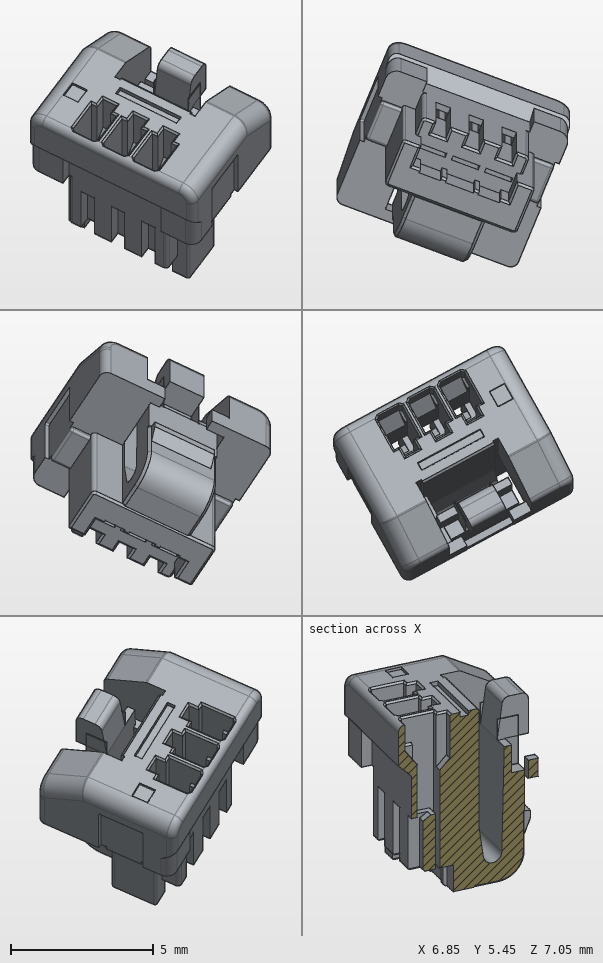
import cadquery as cq
import math

HEAD_WIDTH = 6.85
HEAD_DEPTH = 5.45
TOP_Z = 7.05
HEAD_BOTTOM_Z = 3.85
SIDE_ROUND = 0.61
FACE_ROUND = 0.3
SLOPE_START_Y = 3.76
SLOPE_ANGLE = 30.0
CREASE_ROUND = 0.1

UNDERCUT_Z = 5.435
UNDERCUT_DEPTH = 0.515
SHOULDER_FACE_Y = 0.105

PLUG_WIDTH = 4.98
PLUG_FRONT_Y = 1.21
PLUG_BACK_Y = 3.02
PLUG_FRONT_ROUND = 0.09
PLUG_BACK_ROUND = 0.155
TONGUE_WIDTH = 4.05
TONGUE_BACK_Y = 1.45
TONGUE_BOTTOM_Z = 1.05
TONGUE_ROUND = 0.15
BOTTOM_CHAMFER = 0.085

RECESS_FRONT_Y = 1.24
RECESS_BACK_Y = 2.995
RECESS_TOP_Z = 6.04
RECESS_DEPTH = 0.155
RECESS_ROUND = 0.06
TAB_FRONT_Y = 1.325
TAB_BACK_Y = 2.84
TAB_BOTTOM_Z = 3.64
TAB_ROUND = 0.1

CAVITY_PITCH = 1.25
CAVITY_CENTRES = [-CAVITY_PITCH, 0.0, CAVITY_PITCH]
CAVITY_WIDTH = 1.01
CAVITY_FRONT_Y = 0.74
CAVITY_BACK_Y = 1.61
CAVITY_SHELF_Z = 3.24
MOUTH_FRONT_Y = 0.27
THROAT_WIDTH = 0.82
MOUTH_CORNER_CHAMFER = 0.1
FLARE_HEIGHT = 0.07
RAMP_TOP_Z = 5.99
RAMP_ANGLE = 54.0
KEY_WIDTH = 0.55
KEY_BACK_Y = 2.0
KEY_FLOOR_Z = 4.935
RIM_CHAMFER = 0.07
CONTACT_SLOT_BACK_Y = 0.96
CONTACT_SLOT_RAMP_Y = 1.26
CONTACT_SLOT_RAMP_Z = 3.05
RELIEF_WIDTH = 3.625
RELIEF_GROOVE_DEPTH = 0.14
RELIEF_GROOVE_EDGES = [(-1.515, -0.71), (-0.53, 0.53), (0.71, 1.515)]

LONG_POCKET = (0.0, 2.565, 2.51, 0.3, 0.175)
SQUARE_POCKET = (-2.49, 1.705, 0.6, 0.62, 0.1)

OPENING_WIDTH = 3.3
OPENING_FRONT_Y = PLUG_BACK_Y - 0.01
LIP_FRONT_Y = 5.05
LIP_GAP = 1.89
LIP_TOP_Z = 4.58
RAIL_TOP_Z = 4.37

LATCH_LEFT_X = -1.44
LATCH_RIGHT_X = 1.305
LATCH_BACK_Y = 4.92
LATCH_BEND_RADIUS = 1.01
LATCH_CHAMFER = 0.105
LATCH_CHAMFER_TOP_Z = 2.59
LATCH_STEP_Z = 4.23
WINDOW_ROUND = 0.35
WINDOW_CENTRE_Y = 3.665
WINDOW_CENTRE_Z = 1.185
ROOT_BACK_Y = 3.15
ROOT_BEND_Z = 2.33
ROOT_CHAMFER = 0.085
BAR_FRONT_Y = 4.11
BAR_BACK_Y = 4.405
BAR_TOP_Z = 5.32
CATCH_WIDTH = 2.4
CATCH_TIP_Y = 5.17
CATCH_TIP_TOP_Z = 2.545
CATCH_TIP_BOTTOM_Z = 2.25
CATCH_FOOT_Z = 1.66

BUTTON_WIDTH = 1.375
BUTTON_BACK_Y = 5.33
BUTTON_TOP_Z = 6.96
BUTTON_FRONT_TOP_Y = 4.335
BUTTON_ROUND = 0.28
CHEEK_THICKNESS = 0.035
CHEEK_TOP_Z = 6.15

CUT_MARGIN = 0.35


def box(x0, x1, y0, y1, z0, z1):
    return cq.Workplane("XY").box(x1 - x0, y1 - y0, z1 - z0, centered=False).translate((x0, y0, z0))


def centred_box(width, y0, y1, z0, z1):
    return box(-width / 2, width / 2, y0, y1, z0, z1)


def side_profile(points, x0, x1):
    """Extrude a closed (y, z) outline from x0 to x1."""
    return cq.Workplane("YZ").polyline(points).close().extrude(x1 - x0).translate((x0, 0, 0))


def make_head():
    """Block with a sloped rear top; the long sides, then the front and rear faces, are rounded."""
    slope_end_z = TOP_Z - (HEAD_DEPTH - SLOPE_START_Y) * math.tan(math.radians(SLOPE_ANGLE))
    half = HEAD_WIDTH / 2
    head = side_profile(
        [
            (0, HEAD_BOTTOM_Z),
            (0, TOP_Z),
            (SLOPE_START_Y, TOP_Z),
            (HEAD_DEPTH, slope_end_z),
            (HEAD_DEPTH, HEAD_BOTTOM_Z),
        ],
        -half,
        half,
    )
    for side in ("<X", ">X"):
        head = head.faces(side).edges("not(|Z)").edges("not <Z").fillet(SIDE_ROUND)
    for end in ("<Y", ">Y"):
        head = head.faces(end).edges("not <Z").fillet(FACE_ROUND)
    crease = cq.selectors.NearestToPointSelector((0, SLOPE_START_Y, TOP_Z))
    return head.edges(crease).fillet(CREASE_ROUND)


def make_front_undercut():
    """Space under the front of the head, with a 45 degree roof."""
    below = HEAD_BOTTOM_Z - CUT_MARGIN
    half = HEAD_WIDTH / 2 + CUT_MARGIN
    outline = [
        (-CUT_MARGIN, below),
        (-CUT_MARGIN, UNDERCUT_Z + CUT_MARGIN),
        (UNDERCUT_DEPTH, UNDERCUT_Z - UNDERCUT_DEPTH),
        (UNDERCUT_DEPTH, below),
    ]
    return side_profile(outline, -half, half)


def make_shoulders():
    """Corner blocks that fill the undercut at both ends of the front."""
    corner_round = UNDERCUT_DEPTH - SHOULDER_FACE_Y
    back = UNDERCUT_DEPTH + corner_round
    blocks = centred_box(HEAD_WIDTH, SHOULDER_FACE_Y, back, HEAD_BOTTOM_Z, UNDERCUT_Z)
    blocks = blocks.edges("|Z and <Y").fillet(corner_round)
    gap = centred_box(TONGUE_WIDTH, 0, back, HEAD_BOTTOM_Z, UNDERCUT_Z)
    return blocks.cut(gap).intersect(make_front_undercut())


def make_plug():
    """Rear body and front tongue, joined below the head."""
    body = centred_box(PLUG_WIDTH, PLUG_FRONT_Y, PLUG_BACK_Y, 0, HEAD_BOTTOM_Z)
    body = body.edges("|Z and <Y").fillet(PLUG_FRONT_ROUND)
    body = body.edges("|Z and >Y").fillet(PLUG_BACK_ROUND)
    body = body.cut(make_front_relief())
    body = body.faces("<Z").edges().chamfer(BOTTOM_CHAMFER)
    body = body.cut(make_relief_grooves())

    tongue = centred_box(
        TONGUE_WIDTH, UNDERCUT_DEPTH, TONGUE_BACK_Y, TONGUE_BOTTOM_Z, HEAD_BOTTOM_Z
    )
    tongue = tongue.edges("|Z and <Y").fillet(TONGUE_ROUND)
    for centre_x in CAVITY_CENTRES:
        tongue = tongue.cut(make_contact_slot().translate((centre_x, 0, 0)))
    tongue = tongue.faces("<Z").edges("not >Y").chamfer(BOTTOM_CHAMFER)
    return body.union(tongue)


def make_front_relief():
    """Open space behind and below the tongue."""
    return centred_box(RELIEF_WIDTH, PLUG_FRONT_Y - CUT_MARGIN, KEY_BACK_Y, -CUT_MARGIN, TONGUE_BOTTOM_Z)


def make_relief_grooves():
    """Grooves in the back wall of the relief, one behind each cavity."""
    back = KEY_BACK_Y + RELIEF_GROOVE_DEPTH
    grooves = cq.Workplane("XY")
    for left, right in RELIEF_GROOVE_EDGES:
        grooves = grooves.union(box(left, right, PLUG_FRONT_Y, back, -CUT_MARGIN, TONGUE_BOTTOM_Z))
    return grooves


def make_side_recess():
    """Round-cornered recess in the -X side of the head, open below."""
    outer = -HEAD_WIDTH / 2
    recess = box(
        outer - CUT_MARGIN,
        outer + RECESS_DEPTH,
        RECESS_FRONT_Y,
        RECESS_BACK_Y,
        HEAD_BOTTOM_Z - CUT_MARGIN,
        RECESS_TOP_Z,
    )
    return recess.edges("|X and >Z").fillet(RECESS_ROUND)


def make_side_tab():
    """Round-edged tab below the -X recess, flush with the recess floor."""
    tab = box(
        -HEAD_WIDTH / 2 + RECESS_DEPTH,
        -PLUG_WIDTH / 2 + 0.07,
        TAB_FRONT_Y,
        TAB_BACK_Y,
        TAB_BOTTOM_Z,
        HEAD_BOTTOM_Z + TAB_ROUND,
    )
    tab = tab.edges("|Z and <X").fillet(TAB_ROUND)
    return tab.faces("<Z").edges("not >X").fillet(TAB_ROUND)


def make_rear_opening():
    """Opening for the latch, partly closed at the rear by two lips."""
    opening = centred_box(
        OPENING_WIDTH, OPENING_FRONT_Y, HEAD_DEPTH + CUT_MARGIN, HEAD_BOTTOM_Z - 0.07, TOP_Z + CUT_MARGIN
    )
    half = OPENING_WIDTH / 2
    lips = centred_box(OPENING_WIDTH, LIP_FRONT_Y, HEAD_DEPTH, HEAD_BOTTOM_Z, LIP_TOP_Z)
    lip_gap = centred_box(LIP_GAP, LIP_FRONT_Y, HEAD_DEPTH, HEAD_BOTTOM_Z, LIP_TOP_Z)
    rail = box(LATCH_RIGHT_X, half, OPENING_FRONT_Y, LIP_FRONT_Y, HEAD_BOTTOM_Z, RAIL_TOP_Z)
    below_head = centred_box(OPENING_WIDTH, PLUG_BACK_Y, HEAD_DEPTH, 0, HEAD_BOTTOM_Z)
    return opening.cut(lips.cut(lip_gap)).cut(rail).cut(below_head)


def make_contact_slot():
    """Slot open at the tongue's front and bottom, with a ramp up to the cavity shelf."""
    return side_profile(
        [
            (UNDERCUT_DEPTH - CUT_MARGIN, -CUT_MARGIN),
            (UNDERCUT_DEPTH - CUT_MARGIN, CAVITY_SHELF_Z),
            (CONTACT_SLOT_RAMP_Y, CAVITY_SHELF_Z),
            (CONTACT_SLOT_BACK_Y, CONTACT_SLOT_RAMP_Z),
            (CONTACT_SLOT_BACK_Y, -CUT_MARGIN),
        ],
        -KEY_WIDTH / 2,
        KEY_WIDTH / 2,
    )


def make_cavity():
    """One contact cavity centred on X = 0, with its mouth, key, contact slot and rim chamfer."""
    above = TOP_Z + CUT_MARGIN
    well = centred_box(CAVITY_WIDTH, CAVITY_FRONT_Y, CAVITY_BACK_Y, CAVITY_SHELF_Z, above)
    drop = centred_box(CAVITY_WIDTH, TONGUE_BACK_Y, CAVITY_BACK_Y, -CUT_MARGIN, above)

    key_rise = KEY_BACK_Y - CAVITY_BACK_Y
    key = side_profile(
        [
            (CAVITY_BACK_Y, KEY_FLOOR_Z),
            (CAVITY_BACK_Y, above),
            (KEY_BACK_Y, above),
            (KEY_BACK_Y, KEY_FLOOR_Z + key_rise),
        ],
        -KEY_WIDTH / 2,
        KEY_WIDTH / 2,
    )

    mouth = cq.Workplane("XY").polyline(mouth_plan()).close().extrude(above).cut(make_mouth_floor())

    cavity = well.union(key).union(drop).union(mouth)
    return cavity.union(make_contact_slot()).union(make_cavity_rim())


def make_mouth_floor():
    """Solid that stays below the mouth: a steep ramp into the well, between two flared sides."""
    half = CAVITY_WIDTH / 2
    throat_half = THROAT_WIDTH / 2
    ramp_drop = (CAVITY_FRONT_Y - MOUTH_FRONT_Y) * math.tan(math.radians(RAMP_ANGLE))
    ramp = side_profile(
        [
            (MOUTH_FRONT_Y, 0),
            (MOUTH_FRONT_Y, RAMP_TOP_Z),
            (CAVITY_FRONT_Y, RAMP_TOP_Z - ramp_drop),
            (CAVITY_FRONT_Y, 0),
        ],
        -half,
        half,
    )
    flare = (
        cq.Workplane("XZ", origin=(0, CAVITY_FRONT_Y, 0))
        .polyline(
            [
                (throat_half, 0),
                (throat_half, RAMP_TOP_Z - FLARE_HEIGHT),
                (half, RAMP_TOP_Z),
                (half, 0),
            ]
        )
        .close()
        .extrude(CAVITY_FRONT_Y - MOUTH_FRONT_Y)
    )
    behind = centred_box(CAVITY_WIDTH, CAVITY_FRONT_Y, CAVITY_BACK_Y, 0, TOP_Z)
    return ramp.union(flare).union(flare.mirror("YZ")).union(behind)


def mouth_plan(margin=0.0):
    """Plan outline of the mouth and well, grown by margin, with its two front corners cut off."""
    half = CAVITY_WIDTH / 2 + margin
    front = MOUTH_FRONT_Y - margin
    back = CAVITY_BACK_Y + margin
    corner = MOUTH_CORNER_CHAMFER + margin * (2 - math.sqrt(2))
    return [
        (-half, back),
        (-half, front + corner),
        (-half + corner, front),
        (half - corner, front),
        (half, front + corner),
        (half, back),
    ]


def make_cavity_rim():
    """45 degree chamfer round the cavity's upper edge."""
    top = cq.Workplane("XY", origin=(0, 0, TOP_Z))
    well_rim = top.polyline(mouth_plan(RIM_CHAMFER)).close().extrude(-RIM_CHAMFER, taper=45)
    key_rim = (
        top.center(0, (CAVITY_FRONT_Y + KEY_BACK_Y) / 2)
        .rect(KEY_WIDTH + 2 * RIM_CHAMFER, KEY_BACK_Y - CAVITY_FRONT_Y + 2 * RIM_CHAMFER)
        .extrude(-RIM_CHAMFER, taper=45)
    )
    return well_rim.union(key_rim)


def make_top_pocket(centre_x, centre_y, length, width, depth):
    return box(
        centre_x - length / 2,
        centre_x + length / 2,
        centre_y - width / 2,
        centre_y + width / 2,
        TOP_Z - depth,
        TOP_Z + CUT_MARGIN,
    )


def make_latch():
    """U-shaped spring arm that rises from the plug's rear, with its catch."""
    width = LATCH_RIGHT_X - LATCH_LEFT_X
    bend_centre_y = LATCH_BACK_Y - LATCH_BEND_RADIUS
    bend_mid = LATCH_BEND_RADIUS * math.sqrt(0.5)
    hook = (
        cq.Workplane("YZ")
        .moveTo(PLUG_BACK_Y, 0)
        .lineTo(bend_centre_y, 0)
        .threePointArc(
            (bend_centre_y + bend_mid, LATCH_BEND_RADIUS - bend_mid),
            (LATCH_BACK_Y, LATCH_BEND_RADIUS),
        )
        .lineTo(LATCH_BACK_Y, LATCH_CHAMFER_TOP_Z)
        .lineTo(PLUG_BACK_Y, LATCH_CHAMFER_TOP_Z)
        .close()
        .extrude(width)
        .translate((LATCH_LEFT_X, 0, 0))
    )
    outer_edges = hook.faces("<X or >X").edges("(not >Z) and (not <Y)")
    hook = outer_edges.chamfer(LATCH_CHAMFER)
    riser = box(
        LATCH_LEFT_X, LATCH_RIGHT_X, PLUG_BACK_Y, LATCH_BACK_Y, LATCH_CHAMFER_TOP_Z, LATCH_STEP_Z
    )
    root_width = -2 * LATCH_LEFT_X
    root = centred_box(root_width, OPENING_FRONT_Y, ROOT_BACK_Y, HEAD_BOTTOM_Z, TOP_Z)
    root = root.edges(">Y and >Z").chamfer(ROOT_CHAMFER)
    bar = centred_box(root_width, WINDOW_CENTRE_Y, BAR_BACK_Y, HEAD_BOTTOM_Z, BAR_TOP_Z)

    catch = side_profile(
        [
            (BAR_BACK_Y, CATCH_FOOT_Z),
            (LATCH_BACK_Y, CATCH_FOOT_Z),
            (CATCH_TIP_Y, CATCH_TIP_BOTTOM_Z),
            (CATCH_TIP_Y, CATCH_TIP_TOP_Z),
            (LATCH_BACK_Y, LATCH_CHAMFER_TOP_Z),
            (BAR_BACK_Y, LATCH_CHAMFER_TOP_Z),
        ],
        -CATCH_WIDTH / 2,
        CATCH_WIDTH / 2,
    )
    arm = hook.union(riser).union(bar).cut(make_latch_window())
    return arm.union(root).union(catch)


def make_latch_window():
    """Gap between the plug and the arm, round at its foot and open at the top."""
    half = -LATCH_LEFT_X + CUT_MARGIN
    return (
        cq.Workplane("YZ")
        .moveTo(WINDOW_CENTRE_Y - WINDOW_ROUND, WINDOW_CENTRE_Z)
        .threePointArc(
            (WINDOW_CENTRE_Y, WINDOW_CENTRE_Z - WINDOW_ROUND),
            (WINDOW_CENTRE_Y + WINDOW_ROUND, WINDOW_CENTRE_Z),
        )
        .lineTo(BAR_FRONT_Y, BAR_TOP_Z)
        .lineTo(BAR_FRONT_Y, TOP_Z)
        .lineTo(ROOT_BACK_Y, TOP_Z)
        .lineTo(ROOT_BACK_Y, ROOT_BEND_Z)
        .close()
        .extrude(2 * half)
        .translate((-half, 0, 0))
    )


def make_button():
    """Push button with a sloped front, and a thin cheek on each side."""
    button = side_profile(
        [
            (BAR_FRONT_Y, BAR_TOP_Z),
            (BUTTON_FRONT_TOP_Y, BUTTON_TOP_Z),
            (BUTTON_BACK_Y, BUTTON_TOP_Z),
            (BUTTON_BACK_Y, BAR_TOP_Z),
        ],
        -BUTTON_WIDTH / 2,
        BUTTON_WIDTH / 2,
    )
    button = button.faces(">Z").edges("|X").fillet(BUTTON_ROUND)
    for inner in (-BUTTON_WIDTH / 2 - CHEEK_THICKNESS, BUTTON_WIDTH / 2):
        cheek = box(
            inner, inner + CHEEK_THICKNESS, BAR_FRONT_Y, LATCH_BACK_Y, LATCH_STEP_Z, CHEEK_TOP_Z
        )
        button = button.union(cheek)
    return button


part = make_head().cut(make_front_undercut()).union(make_shoulders())

recess = make_side_recess()
tab = make_side_tab()
part = part.cut(recess).cut(recess.mirror("YZ"))
part = part.cut(make_rear_opening())
part = part.union(make_plug())
part = part.union(tab).union(tab.mirror("YZ"))

for centre_x in CAVITY_CENTRES:
    part = part.cut(make_cavity().translate((centre_x, 0, 0)))
for pocket in (LONG_POCKET, SQUARE_POCKET):
    part = part.cut(make_top_pocket(*pocket))

result = part.union(make_latch()).union(make_button())